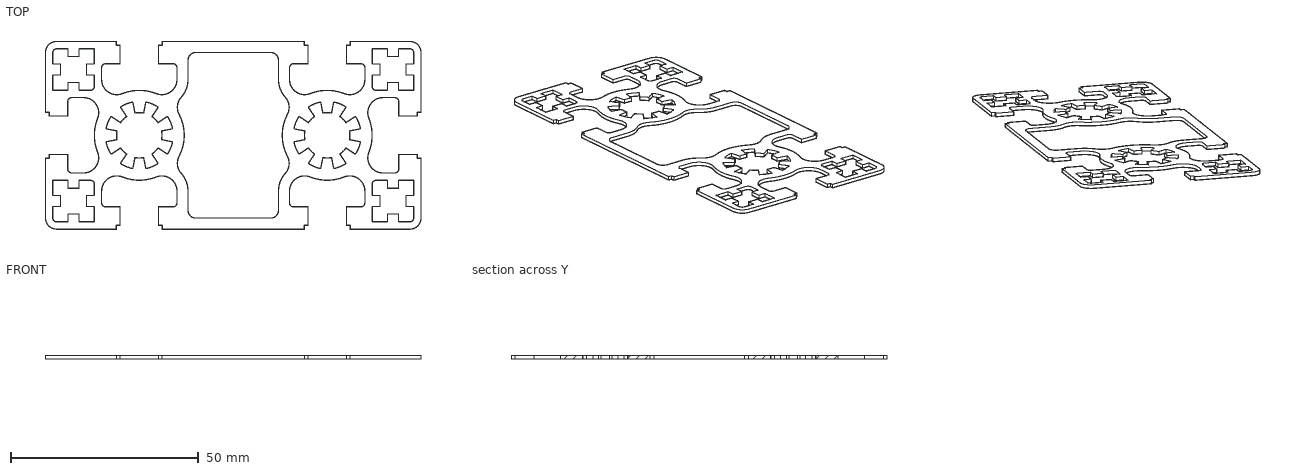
import cadquery as cq
import math

cell = 50.0
length = 2 * cell
thickness = 1.0
half_cell = cell / 2
core_x = cell / 2
corner_radius = 3.0

ring_radius = 12.0
root_radius = 9.0
tip_radius = 6.0
tooth_count = 8
tooth_pitch = 360 / tooth_count
gap_angle = tooth_pitch / 2

mouth_half = 5.1
step_half = 6.1
step_depth = 1.0
lip_depth = 6.0
cavity_half = 10.0
cavity_corner_radius = 1.0
cavity_floor_radius = 4.0

frame_wall = 3.0
window_corner_radius = 2.0
neck_radius = 4.0

post_wall = 2.0
hollow_side = half_cell - cavity_half - 2 * post_wall
hollow_radius = corner_radius - post_wall
rib_width = 3.0
rib_length = 2.1

floor_x = cavity_half - cavity_floor_radius
floor_distance = ring_radius + cavity_floor_radius
floor_y = math.sqrt(floor_distance**2 - floor_x**2)


def toward(start, end, distance):
    """Point at a distance from start on the line to end."""
    share = distance / math.dist(start, end)
    return (start[0] + share * (end[0] - start[0]), start[1] + share * (end[1] - start[1]))


def midpoint_of_arc(center, start, end, radius):
    """Middle of the shorter arc from start to end."""
    chord_middle = ((start[0] + end[0]) / 2, (start[1] + end[1]) / 2)
    return toward(center, chord_middle, radius)


def mirror_x(point):
    return (-point[0], point[1])


def mirror_y(point):
    return (point[0], -point[1])


def make_slot():
    """T-slot void opening toward +Y, with the ring centre at the origin."""
    lip_y = half_cell - lip_depth
    step_y = half_cell - step_depth
    corner = cavity_corner_radius
    floor_center = (floor_x, floor_y)
    corner_center = (cavity_half - corner, lip_y - corner)

    mouth = [(step_half, half_cell), (step_half, step_y), (mouth_half, step_y), (mouth_half, lip_y)]
    corner_start = (corner_center[0], lip_y)
    corner_end = (cavity_half, corner_center[1])
    corner_middle = midpoint_of_arc(corner_center, corner_start, corner_end, corner)
    floor_start = (cavity_half, floor_y)
    floor_end = toward((0, 0), floor_center, ring_radius)
    floor_middle = midpoint_of_arc(floor_center, floor_start, floor_end, cavity_floor_radius)

    outline = cq.Workplane("XY").polyline(mouth + [corner_start])
    outline = outline.threePointArc(corner_middle, corner_end).lineTo(*floor_start)
    outline = outline.threePointArc(floor_middle, floor_end)
    outline = outline.threePointArc((0, ring_radius), mirror_x(floor_end))
    outline = outline.threePointArc(mirror_x(floor_middle), mirror_x(floor_start))
    outline = outline.lineTo(*mirror_x(corner_end))
    outline = outline.threePointArc(mirror_x(corner_middle), mirror_x(corner_start))
    for point in reversed(mouth):
        outline = outline.lineTo(*mirror_x(point))
    return outline.close().extrude(thickness)


def make_window_half():
    """Left half of the central window, from the left ring to the YZ plane."""
    wall_x = cavity_half + frame_wall
    top_y = half_cell - frame_wall
    corner = window_corner_radius
    corner_center = (wall_x + corner, top_y - corner)
    arm_center = (floor_x, floor_y)
    arm_radius = cavity_floor_radius + frame_wall

    from_ring = ring_radius + neck_radius
    from_arm = arm_radius + neck_radius
    along = (from_ring**2 - from_arm**2 + floor_distance**2) / (2 * floor_distance)
    across = math.sqrt(from_ring**2 - along**2)
    neck_center = (
        (along * floor_x + across * floor_y) / floor_distance,
        (along * floor_y - across * floor_x) / floor_distance,
    )

    corner_start = (corner_center[0], top_y)
    corner_end = (wall_x, corner_center[1])
    corner_middle = midpoint_of_arc(corner_center, corner_start, corner_end, corner)
    arm_start = (wall_x, floor_y)
    arm_end = toward(arm_center, neck_center, arm_radius)
    arm_middle = midpoint_of_arc(arm_center, arm_start, arm_end, arm_radius)
    neck_end = toward((0, 0), neck_center, ring_radius)
    neck_middle = midpoint_of_arc(neck_center, arm_end, neck_end, neck_radius)

    outline = cq.Workplane("XY").moveTo(core_x, top_y).lineTo(*corner_start)
    outline = outline.threePointArc(corner_middle, corner_end).lineTo(*arm_start)
    outline = outline.threePointArc(arm_middle, arm_end)
    outline = outline.threePointArc(neck_middle, neck_end)
    outline = outline.threePointArc((ring_radius, 0), mirror_y(neck_end))
    outline = outline.threePointArc(mirror_y(neck_middle), mirror_y(arm_end))
    outline = outline.threePointArc(mirror_y(arm_middle), mirror_y(arm_start))
    outline = outline.lineTo(*mirror_y(corner_end))
    outline = outline.threePointArc(mirror_y(corner_middle), mirror_y(corner_start))
    outline = outline.lineTo(core_x, -top_y).close()
    return outline.extrude(thickness).translate((-core_x, 0, 0))


def polar(radius, angle):
    return (radius * math.cos(math.radians(angle)), radius * math.sin(math.radians(angle)))


def make_core_bore():
    """Toothed bore, with teeth on the axes and the diagonals."""
    bore = cq.Workplane("XY").circle(tip_radius).extrude(thickness)
    gap = (
        cq.Workplane("XY")
        .lineTo(*polar(root_radius, -gap_angle / 2))
        .threePointArc(polar(root_radius, 0), polar(root_radius, gap_angle / 2))
        .close()
        .extrude(thickness)
    )
    for index in range(tooth_count):
        bore = bore.union(gap.rotate((0, 0, 0), (0, 0, 1), (index + 0.5) * tooth_pitch))
    return bore


def make_post_hollow():
    """Square void of the upper left post, centred on the origin, with a rib on each side."""
    hollow = cq.Workplane("XY").rect(hollow_side, hollow_side).extrude(thickness)
    hollow = hollow.edges("|Z").edges("<(1,-1,0) or >(1,-1,0)").fillet(hollow_radius)
    rib = (
        cq.Workplane("XY")
        .center(hollow_side / 2 - rib_length / 2, 0)
        .rect(rib_length, rib_width)
        .extrude(thickness)
    )
    for angle in (0, 90, 180, 270):
        hollow = hollow.cut(rib.rotate((0, 0, 0), (0, 0, 1), angle))
    return hollow


def make_left_half_voids():
    """All voids of the left cell, including its half of the window."""
    voids = [make_window_half(), make_core_bore().translate((-core_x, 0, 0))]
    slot = make_slot()
    for angle in (0, 90, 180):
        voids.append(slot.rotate((0, 0, 0), (0, 0, 1), angle).translate((-core_x, 0, 0)))
    post_offset = post_wall + hollow_side / 2
    upper_hollow = make_post_hollow().translate((post_offset - cell, half_cell - post_offset, 0))
    return voids + [upper_hollow, upper_hollow.mirror("XZ")]


result = cq.Workplane("XY").rect(length, cell).extrude(thickness).edges("|Z").fillet(corner_radius)
for void in make_left_half_voids():
    result = result.cut(void).cut(void.mirror("YZ"))